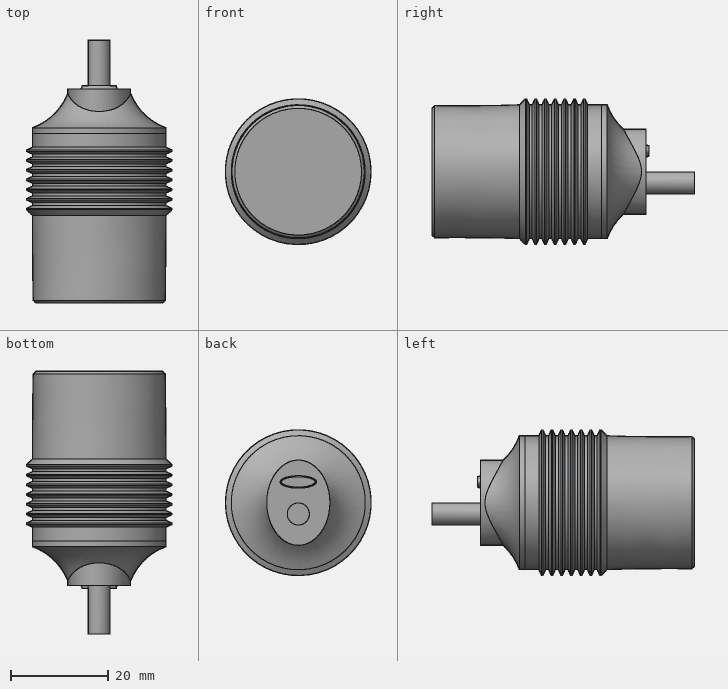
import cadquery as cq

total_length = 54.1
body_radius = 13.8
rear_face_y = 44.1

rib_radius = 15.015
rib_count = 7
rib_pitch = 2.0
rib_base_width = 1.4
rib_tip_width = 0.25
front_rib_y = 19.35

flare_front_y = 18.05
cap_front_radius = 13.65
cap_chamfer = 0.6

neck_front_y = 34.95
neck_shoulder_y = 36.1
neck_rear_radius = 6.15
neck_arc_radius = 12.15

boss_half_width = 6.5
boss_half_height = 8.75

shaft_radius = 2.25
shaft_z = -2.3

button_half_width = 3.75
button_half_height = 1.3
button_height = 0.65
button_taper = 20.0
button_z = 4.3

sleeve_front_y = front_rib_y - rib_tip_width / 2


def revolve_about_y(profile):
    """Close a profile drawn as (radius, y) and turn it about the Y axis."""
    return profile.close().revolve(360, (0, 0, 0), (0, 1, 0))


def rear_plane(y, z=0.0):
    """Plane that faces +Y, centred on X = 0 at the given Y and Z."""
    return cq.Workplane(cq.Plane(origin=(0, y, z), xDir=(1, 0, 0), normal=(0, 1, 0)))


def make_front_cap():
    """Tapered cap that flares out to the rib radius at its rear edge."""
    profile = (
        cq.Workplane("XY")
        .moveTo(0, 0)
        .lineTo(cap_front_radius - cap_chamfer, 0)
        .lineTo(cap_front_radius, cap_chamfer)
        .lineTo(body_radius, flare_front_y)
        .lineTo(rib_radius, sleeve_front_y)
        .lineTo(0, sleeve_front_y)
    )
    return revolve_about_y(profile)


def make_ribbed_sleeve():
    """Cylinder with evenly spaced ribs; the front rib starts at its tip."""
    profile = cq.Workplane("XY").moveTo(0, sleeve_front_y).lineTo(rib_radius, sleeve_front_y)
    for index in range(rib_count):
        rib_y = front_rib_y + index * rib_pitch
        if index > 0:
            profile = profile.lineTo(body_radius, rib_y - rib_base_width / 2)
            profile = profile.lineTo(rib_radius, rib_y - rib_tip_width / 2)
        profile = profile.lineTo(rib_radius, rib_y + rib_tip_width / 2)
        profile = profile.lineTo(body_radius, rib_y + rib_base_width / 2)
    profile = profile.lineTo(body_radius, neck_front_y).lineTo(0, neck_front_y)
    return revolve_about_y(profile)


def make_neck():
    """Concave neck on a short band, joined to an elliptical boss."""
    profile = (
        cq.Workplane("XY")
        .moveTo(0, neck_front_y)
        .lineTo(body_radius, neck_front_y)
        .lineTo(body_radius, neck_shoulder_y)
        .radiusArc((neck_rear_radius, rear_face_y), neck_arc_radius)
        .lineTo(0, rear_face_y)
    )
    boss = (
        rear_plane(neck_front_y)
        .ellipse(boss_half_width, boss_half_height)
        .extrude(rear_face_y - neck_front_y)
    )
    return revolve_about_y(profile).union(boss)


def make_shaft():
    """Plain shaft that stands on the rear face, below the housing axis."""
    return rear_plane(rear_face_y, shaft_z).circle(shaft_radius).extrude(total_length - rear_face_y)


def make_button():
    """Low elliptical button with a tapered rim, above the shaft."""
    return (
        rear_plane(rear_face_y, button_z)
        .ellipse(button_half_width, button_half_height)
        .extrude(button_height, taper=button_taper)
    )


front_cap = make_front_cap()
ribbed_sleeve = make_ribbed_sleeve()
neck = make_neck()
shaft = make_shaft()
button = make_button()

result = cq.Compound.makeCompound(
    [front_cap.val(), ribbed_sleeve.val(), neck.val(), shaft.val(), button.val()]
)